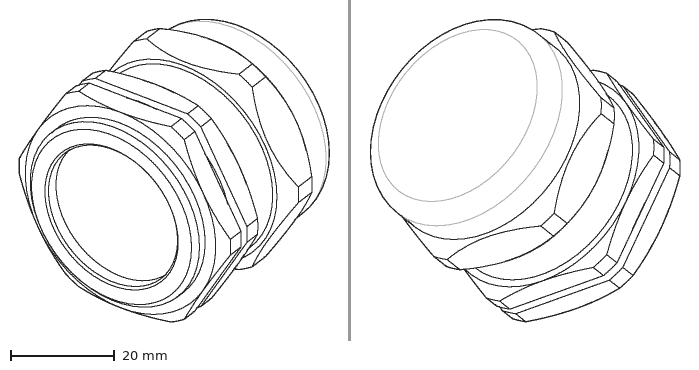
import cadquery as cq
import math

TOTAL_LENGTH = 44.18
LOCKNUT_START = 3.0
LOCKNUT_THICKNESS = 5.0
SEAL_THICKNESS = 2.0
FLANGE_THICKNESS = 5.0
BODY_NECK_LENGTH = 9.2
CAP_HEX_LENGTH = 10.5

SEAL_START = LOCKNUT_START + LOCKNUT_THICKNESS
FLANGE_START = SEAL_START + SEAL_THICKNESS
NECK_START = FLANGE_START + FLANGE_THICKNESS
CAP_HEX_START = NECK_START + BODY_NECK_LENGTH
CAP_COLLAR_START = CAP_HEX_START + CAP_HEX_LENGTH

ACROSS_FLATS = 45.0
ACROSS_CORNERS = 2 * ACROSS_FLATS / math.sqrt(3)
TURNED_CORNER_DIAMETER = 50.0
NUT_CHAMFER_DIAMETER = ACROSS_FLATS
NUT_CHAMFER_ANGLE = 30.0
CAP_CHAMFER_ANGLE = 45.0

THREAD_DIAMETER = 40.0
THREAD_CHAMFER = 1.1
SEAL_DIAMETER = 42.5
SEAL_CORD_RADIUS = 1.5
SEAL_CORD_OFFSET = 1.3
NECK_DIAMETER = 42.0
CAP_DIAMETER = 44.0
CAP_ROUNDING = 3.5

RECESS_DIAMETER = 30.5
RECESS_MOUTH_CHAMFER = 0.5
RECESS_DEPTH = 3.0


def disc(start, length, diameter):
    """Cylinder on the Y axis from start to start + length."""
    plane = cq.Workplane("XZ", origin=(0, start, 0))
    return plane.circle(diameter / 2).extrude(-length)


def revolved(profile):
    """Solid of revolution about Y from (radius, station) points."""
    section = cq.Workplane("XY").polyline(profile).close()
    return section.revolve(360, (0, 0, 0), (0, 1, 0))


def turned_hexagon(start, length, face_diameter, chamfer_angle, chamfer_start, chamfer_end):
    """Hexagonal prism with turned corners and conical chamfers on the chosen ends."""
    plane = cq.Workplane("XZ", origin=(0, start, 0))
    prism = plane.polygon(6, ACROSS_CORNERS).extrude(-length)
    face_radius = face_diameter / 2
    outer_radius = TURNED_CORNER_DIAMETER / 2
    drop = (outer_radius - face_radius) * math.tan(math.radians(chamfer_angle))
    end = start + length

    profile = [(0, start)]
    if chamfer_start:
        profile += [(face_radius, start), (outer_radius, start + drop)]
    else:
        profile.append((outer_radius, start))
    if chamfer_end:
        profile += [(outer_radius, end - drop), (face_radius, end)]
    else:
        profile.append((outer_radius, end))
    profile.append((0, end))
    return prism.intersect(revolved(profile))


def thread_section():
    return disc(0, SEAL_START, THREAD_DIAMETER).faces("<Y").chamfer(THREAD_CHAMFER)


def locknut():
    return turned_hexagon(
        LOCKNUT_START, LOCKNUT_THICKNESS, NUT_CHAMFER_DIAMETER, NUT_CHAMFER_ANGLE, True, False
    )


def seal():
    """O-ring squeezed between locknut and flange; only the cord's outer bulge shows in the gap."""
    cord_centre_radius = SEAL_DIAMETER / 2 - SEAL_CORD_RADIUS

    def bulge_radius(offset_from_cord):
        return cord_centre_radius + math.sqrt(SEAL_CORD_RADIUS**2 - offset_from_cord**2)

    start_point = (bulge_radius(SEAL_CORD_OFFSET), SEAL_START)
    crest_point = (SEAL_DIAMETER / 2, SEAL_START + SEAL_CORD_OFFSET)
    end_point = (bulge_radius(SEAL_THICKNESS - SEAL_CORD_OFFSET), FLANGE_START)
    section = cq.Workplane("XY").moveTo(0, SEAL_START).lineTo(*start_point)
    section = section.threePointArc(crest_point, end_point).lineTo(0, FLANGE_START).close()
    return section.revolve(360, (0, 0, 0), (0, 1, 0))


def body():
    flange = turned_hexagon(
        FLANGE_START, FLANGE_THICKNESS, NUT_CHAMFER_DIAMETER, NUT_CHAMFER_ANGLE, False, True
    )
    return flange.union(disc(NECK_START, BODY_NECK_LENGTH, NECK_DIAMETER))


def cap():
    hexagon = turned_hexagon(
        CAP_HEX_START, CAP_HEX_LENGTH, CAP_DIAMETER, CAP_CHAMFER_ANGLE, True, True
    )
    collar = disc(CAP_COLLAR_START, TOTAL_LENGTH - CAP_COLLAR_START, CAP_DIAMETER)
    collar = collar.faces(">Y").edges().fillet(CAP_ROUNDING)
    return hexagon.union(collar)


def recess():
    bore_radius = RECESS_DIAMETER / 2
    mouth_radius = bore_radius + RECESS_MOUTH_CHAMFER
    return revolved(
        [
            (0, 0),
            (mouth_radius, 0),
            (bore_radius, RECESS_MOUTH_CHAMFER),
            (bore_radius, RECESS_DEPTH),
            (0, RECESS_DEPTH),
        ]
    )


gland = thread_section().union(locknut()).union(seal()).union(body()).union(cap())
result = gland.cut(recess())